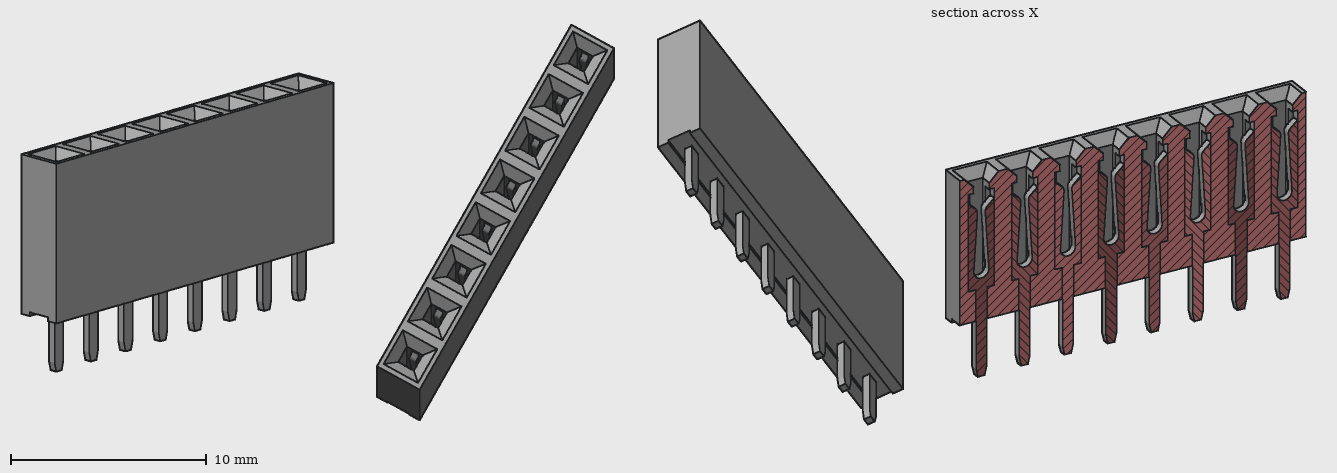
import cadquery as cq
import math


contact_count = 8
row_length = 20.32
pitch = row_length / contact_count
housing_width = 2.5
housing_height = 8.5

channel_width = 1.28
channel_depth = 0.2

funnel_mouth = 2.01
well_side = 0.91
funnel_depth = (funnel_mouth - well_side) / 2
well_top = housing_height - funnel_depth
well_floor = 2.03

slot_top = well_top - 0.39

contact_thickness = 0.4
fork_width = 1.5
fork_tip = 7.01

mouth_angle = math.radians(41)
throat_width = 0.43
crest_radius = 0.35
gap_bottom_radius = 0.43
gap_bottom_center_z = well_floor + 1.02

tail_width = 0.65
tail_length = 3.0
tail_end_width = 0.4
tail_taper_length = 0.5


def position_centers():
    """Y of every contact, evenly spaced about the middle of the row."""
    return [(i - (contact_count - 1) / 2) * pitch for i in range(contact_count)]


def cavity(y):
    """Everything removed from the housing at one position."""
    funnel = (
        cq.Workplane("XY", origin=(0, y, well_top))
        .rect(well_side, well_side)
        .workplane(offset=funnel_depth)
        .rect(funnel_mouth, funnel_mouth)
        .loft(ruled=True)
    )
    well = (
        cq.Workplane("XY", origin=(0, y, well_floor))
        .rect(well_side, well_side)
        .extrude(well_top - well_floor)
    )
    arm_slots = (
        cq.Workplane("XY", origin=(0, y, well_floor))
        .rect(contact_thickness, fork_width)
        .extrude(slot_top - well_floor)
    )
    tail_hole = (
        cq.Workplane("XY", origin=(0, y, 0))
        .rect(contact_thickness, tail_width)
        .extrude(well_floor)
    )
    return funnel.union(well).union(arm_slots).union(tail_hole)


def make_housing():
    """Block with the underside channel and one cavity per contact."""
    body = cq.Workplane("XY").rect(housing_width, row_length).extrude(housing_height)
    channel = cq.Workplane("XY").rect(channel_width, row_length).extrude(channel_depth)
    body = body.cut(channel)
    for y in position_centers():
        body = body.cut(cavity(y))
    return body.solids()


def make_contact(y):
    """Flat fork contact, symmetric about its own centre line, with a straight tail."""
    half_fork = fork_width / 2
    half_tail = tail_width / 2
    half_tail_end = tail_end_width / 2
    tail_bottom = -tail_length
    taper_top = tail_bottom + tail_taper_length

    throat_y = throat_width / 2
    crest_y = throat_y + crest_radius
    slope_end_y = crest_y - crest_radius * math.sin(mouth_angle)
    slope_end_z = fork_tip - (half_fork - slope_end_y) * math.tan(mouth_angle)
    crest_z = slope_end_z - crest_radius * math.cos(mouth_angle)

    rise = crest_z - gap_bottom_center_z
    center_distance = math.hypot(crest_y, rise)
    radius_sum = crest_radius + gap_bottom_radius
    flank_angle = math.atan2(rise, crest_y) - math.acos(radius_sum / center_distance)
    crest_end_y = crest_y - crest_radius * math.cos(flank_angle)
    crest_end_z = crest_z - crest_radius * math.sin(flank_angle)
    flank_end_y = gap_bottom_radius * math.cos(flank_angle)
    flank_end_z = gap_bottom_center_z + gap_bottom_radius * math.sin(flank_angle)
    gap_bottom_z = gap_bottom_center_z - gap_bottom_radius

    return (
        cq.Workplane("YZ", origin=(0, y, 0))
        .moveTo(half_tail_end, tail_bottom)
        .lineTo(half_tail, taper_top)
        .lineTo(half_tail, well_floor)
        .lineTo(half_fork, well_floor)
        .lineTo(half_fork, fork_tip)
        .lineTo(slope_end_y, slope_end_z)
        .threePointArc((throat_y, crest_z), (crest_end_y, crest_end_z))
        .lineTo(flank_end_y, flank_end_z)
        .threePointArc((0, gap_bottom_z), (-flank_end_y, flank_end_z))
        .lineTo(-crest_end_y, crest_end_z)
        .threePointArc((-throat_y, crest_z), (-slope_end_y, slope_end_z))
        .lineTo(-half_fork, fork_tip)
        .lineTo(-half_fork, well_floor)
        .lineTo(-half_tail, well_floor)
        .lineTo(-half_tail, taper_top)
        .lineTo(-half_tail_end, tail_bottom)
        .close()
        .extrude(contact_thickness / 2, both=True)
        .solids()
    )


housing = make_housing()
contacts = [make_contact(y) for y in position_centers()]

result = cq.Compound.makeCompound([housing.val(), *[contact.val() for contact in contacts]])